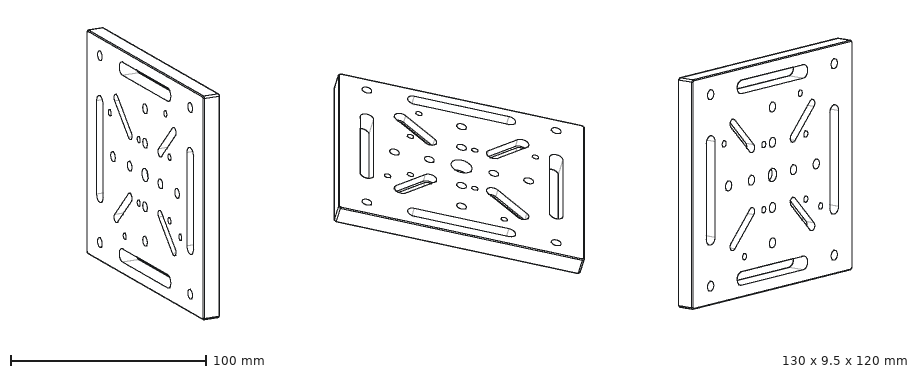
import cadquery as cq
import math

WIDTH = 130.0
HEIGHT = 120.0
THICKNESS = 9.5
CORNER_CHAMFER = 1.0
FACE_CHAMFER = 0.5

CENTRE_HOLE_DIAMETER = 6.8
MAIN_HOLE_DIAMETER = 5.1
SMALL_HOLE_DIAMETER = 3.2
CORNER_OFFSET = 50.0
INNER_CROSS_RADIUS = 17.0
OUTER_CROSS_RADIUS = 35.5

SQUARE_CENTRE_X = 10.0
SQUARE_HALF_PITCH = INNER_CROSS_RADIUS
RING_RADIUS = 45.1
RING_START_ANGLE = 60

LONG_SLOT_WIDTH = 7.0
LONG_SLOT_LENGTH = CORNER_OFFSET + LONG_SLOT_WIDTH

DIAGONAL_SLOT_WIDTH = 4.5
DIAGONAL_SLOT_LENGTH = 26.3
DIAGONAL_SLOT_RADIUS = 34.5

SLOT_RECESS_WIDTH = 7.0
SLOT_RECESS_LENGTH = DIAGONAL_SLOT_LENGTH + SLOT_RECESS_WIDTH - DIAGONAL_SLOT_WIDTH
SLOT_RECESS_DEPTH = 4.3
CENTRE_RECESS_DIAMETER = 11.0
CENTRE_RECESS_DEPTH = 6.5

QUARTER_TURNS = (0, 90, 180, 270)
DIAGONAL = 45
PERPENDICULAR = 90


def back_plane():
    """Sketch plane on the back face: local x = X, local y = Z, cuts run along its normal (-Y)."""
    return cq.Workplane("XZ", origin=(0, THICKNESS / 2, 0))


def square_points(half_pitch, centre_x=0.0):
    return [(centre_x + sx * half_pitch, sz * half_pitch) for sx in (-1, 1) for sz in (-1, 1)]


def ring_points(radius, start_angle):
    angles = [math.radians(start_angle + turn) for turn in QUARTER_TURNS]
    return [(radius * math.cos(angle), radius * math.sin(angle)) for angle in angles]


def round_cutter(points, diameter, depth=THICKNESS):
    return back_plane().pushPoints(points).circle(diameter / 2).extrude(depth)


def slot_cutter(point, length, width, angle, depth=THICKNESS):
    """Slot with its long axis at the given angle from X."""
    return back_plane().center(*point).slot2D(length, width, angle).extrude(depth)


plate = cq.Workplane("XY").box(WIDTH, THICKNESS, HEIGHT)
plate = plate.edges("|Y").chamfer(CORNER_CHAMFER)
plate = plate.faces("<Y or >Y").edges().chamfer(FACE_CHAMFER)

cutters = [
    round_cutter([(0, 0)], CENTRE_HOLE_DIAMETER),
    round_cutter([(0, 0)], CENTRE_RECESS_DIAMETER, CENTRE_RECESS_DEPTH),
    round_cutter(square_points(CORNER_OFFSET), MAIN_HOLE_DIAMETER),
    round_cutter(ring_points(INNER_CROSS_RADIUS, 0), MAIN_HOLE_DIAMETER),
    round_cutter(ring_points(OUTER_CROSS_RADIUS, 0), MAIN_HOLE_DIAMETER),
    round_cutter(square_points(SQUARE_HALF_PITCH, SQUARE_CENTRE_X), SMALL_HOLE_DIAMETER),
    round_cutter(ring_points(RING_RADIUS, RING_START_ANGLE), SMALL_HOLE_DIAMETER),
]

for turn, point in zip(QUARTER_TURNS, ring_points(CORNER_OFFSET, 0)):
    cutters.append(slot_cutter(point, LONG_SLOT_LENGTH, LONG_SLOT_WIDTH, turn + PERPENDICULAR))

for turn, point in zip(QUARTER_TURNS, ring_points(DIAGONAL_SLOT_RADIUS, DIAGONAL)):
    angle = turn + DIAGONAL
    cutters.append(slot_cutter(point, DIAGONAL_SLOT_LENGTH, DIAGONAL_SLOT_WIDTH, angle))
    cutters.append(slot_cutter(point, SLOT_RECESS_LENGTH, SLOT_RECESS_WIDTH, angle, SLOT_RECESS_DEPTH))

result = plate
for cutter in cutters:
    result = result.cut(cutter)